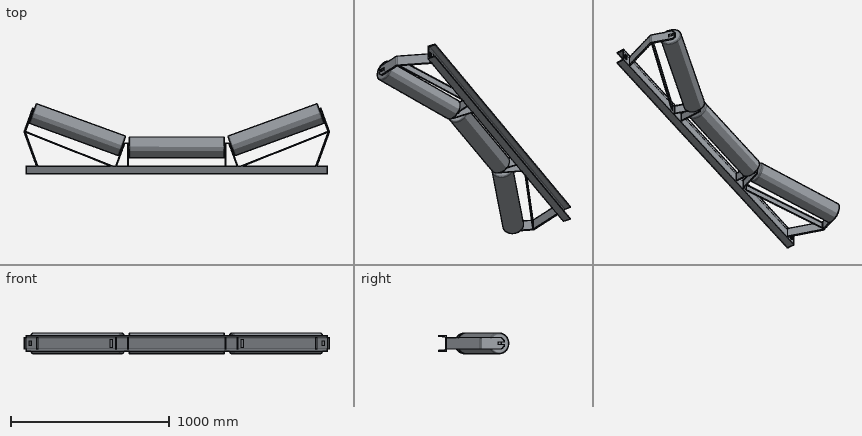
import cadquery as cq
import math


OVERALL_LENGTH = 1925.0
TROUGH_ANGLE = 20.0
SIN_TROUGH = math.sin(math.radians(TROUGH_ANGLE))
COS_TROUGH = math.cos(math.radians(TROUGH_ANGLE))
TAN_TROUGH = math.tan(math.radians(TROUGH_ANGLE))
SIDES = (-1, 1)

CHANNEL_LENGTH = 1900.0
CHANNEL_HEIGHT = 100.0
CHANNEL_DEPTH = 50.0
WEB_THICKNESS = 5.0
FLANGE_TOE_THICKNESS = 6.5
FLANGE_TAPER = 0.08
ROOT_RADIUS = 8.0
TOE_RADIUS = 4.0
SLOT_FROM_END = 27.0
SLOT_WIDTH = 17.0
SLOT_HEIGHT = 29.0

ROLLER_DIAMETER = 133.0
ROLLER_LENGTH = 600.0
ROLLER_EDGE_RADIUS = 5.0
CENTRE_ROLLER_Y = 117.0
SIDE_ROLLER_X = 625.0
SIDE_ROLLER_Y = 229.0
ROLLER_GAP = 4.0
AXLE_THICKNESS = 15.0
AXLE_DIAMETER = 23.0

BRACKET_WIDTH = 71.0
INNER_PLATE = 5.0
INNER_BRACKET_TOP = 146.0
INNER_BEND_RADIUS = 5.0
OUTER_PLATE = 10.0
OUTER_BEND_Y = 215.0
OUTER_BEND_RADIUS = 15.0
OUTER_TIP_Y = 365.0
OUTER_TIP_CHAMFER = 20.0

BRACE_WIDTH = 50.0
BRACE_THICKNESS = 5.0
BRACE_FOOT_X = 412.0

INNER_REACH = ROLLER_LENGTH / 2 + ROLLER_GAP + INNER_PLATE
OUTER_CORNER_X = OVERALL_LENGTH / 2 + OUTER_BEND_RADIUS * (1 / COS_TROUGH - 1)
OUTER_REACH = (OUTER_CORNER_X - SIDE_ROLLER_X) * COS_TROUGH + (OUTER_BEND_Y - SIDE_ROLLER_Y) * SIN_TROUGH


def make_strip(outline, width):
    """Plate with the given XY outline, extruded symmetrically about Z = 0."""
    return cq.Workplane("XY").workplane(offset=-width / 2).polyline(outline).close().extrude(width)


def on_side_roller_axis(body):
    """Move a body built along X at the origin onto the right-hand inclined roller axis."""
    return body.rotate((0, 0, 0), (0, 0, 1), TROUGH_ANGLE).translate((SIDE_ROLLER_X, SIDE_ROLLER_Y, 0))


def on_side(body, side):
    """Mirror a right-hand body when it belongs on the left."""
    return body if side > 0 else body.mirror("YZ")


def make_channel():
    """Taper-flange channel, open towards -Y, with a mounting slot near each end of its web."""
    half_height = CHANNEL_HEIGHT / 2
    toe_z = half_height - FLANGE_TOE_THICKNESS
    root_z = toe_z - FLANGE_TAPER * (CHANNEL_DEPTH - WEB_THICKNESS)
    profile = [
        (0, -half_height),
        (0, half_height),
        (-CHANNEL_DEPTH, half_height),
        (-CHANNEL_DEPTH, toe_z),
        (-WEB_THICKNESS, root_z),
        (-WEB_THICKNESS, -root_z),
        (-CHANNEL_DEPTH, -toe_z),
        (-CHANNEL_DEPTH, -half_height),
    ]
    channel = cq.Workplane("YZ").workplane(offset=-CHANNEL_LENGTH / 2)
    channel = channel.polyline(profile).close().extrude(CHANNEL_LENGTH)

    def edges_near(y, z):
        """The pair of lengthwise edges at (y, z) and (y, -z)."""
        spots = [(0, y, z), (0, y, -z)]
        return channel.newObject([channel.edges(cq.selectors.NearestToPointSelector(s)).val() for s in spots])

    channel = edges_near(-WEB_THICKNESS, root_z).fillet(ROOT_RADIUS)
    channel = edges_near(-CHANNEL_DEPTH, toe_z).fillet(TOE_RADIUS)

    slot_x = CHANNEL_LENGTH / 2 - SLOT_FROM_END
    slots = (
        cq.Workplane("XZ")
        .pushPoints([(side * slot_x, 0) for side in SIDES])
        .rect(SLOT_WIDTH, SLOT_HEIGHT)
        .extrude(WEB_THICKNESS)
    )
    return channel.cut(slots)


def make_axle(inner_reach, outer_reach):
    """Axle along X with two flats, ending flush with the far faces of the supporting plates."""
    length = inner_reach + outer_reach
    axle = cq.Workplane("YZ").workplane(offset=-inner_reach).circle(AXLE_DIAMETER / 2).extrude(length)
    return axle.intersect(cq.Workplane("XY").box(OVERALL_LENGTH, AXLE_DIAMETER, AXLE_THICKNESS))


def make_roller(inner_reach, outer_reach):
    """Roller along X, centred on the origin, with an axle end beyond each face."""
    shell = cq.Workplane("YZ").workplane(offset=-ROLLER_LENGTH / 2).circle(ROLLER_DIAMETER / 2)
    shell = shell.extrude(ROLLER_LENGTH)
    shell = shell.faces("<X or >X").edges().fillet(ROLLER_EDGE_RADIUS)
    return shell.union(make_axle(inner_reach, outer_reach))


def make_centre_roller():
    return make_roller(INNER_REACH, INNER_REACH).translate((0, CENTRE_ROLLER_Y, 0))


def make_side_roller():
    return on_side_roller_axis(make_roller(INNER_REACH, OUTER_REACH))


def make_inner_bracket():
    """Folded plate between two rollers: an upright leg, a flat top and an inclined leg."""
    slant_plate = INNER_PLATE / COS_TROUGH
    upright_x = ROLLER_LENGTH / 2 + ROLLER_GAP
    foot_x = SIDE_ROLLER_X + SIDE_ROLLER_Y * TAN_TROUGH - (INNER_REACH - INNER_PLATE) / COS_TROUGH
    underside = INNER_BRACKET_TOP - INNER_PLATE
    outline = [
        (upright_x, 0),
        (upright_x, INNER_BRACKET_TOP),
        (foot_x - INNER_BRACKET_TOP * TAN_TROUGH, INNER_BRACKET_TOP),
        (foot_x, 0),
        (foot_x - slant_plate, 0),
        (foot_x - slant_plate - underside * TAN_TROUGH, underside),
        (upright_x + INNER_PLATE, underside),
        (upright_x + INNER_PLATE, 0),
    ]
    bracket = make_strip(outline, BRACKET_WIDTH)
    bracket = bracket.faces(">Y").edges("|Z").fillet(INNER_BEND_RADIUS)
    return bracket.cut(make_centre_roller()).cut(make_side_roller())


def make_outer_bracket():
    """Bent plate carrying the outer axle end in a slot open at its tip."""
    slant_plate = OUTER_PLATE / COS_TROUGH
    foot_x = OUTER_CORNER_X - OUTER_BEND_Y * TAN_TROUGH
    tip_x = OUTER_CORNER_X - (OUTER_TIP_Y - OUTER_BEND_Y) * TAN_TROUGH
    outline = [
        (foot_x, 0),
        (OUTER_CORNER_X, OUTER_BEND_Y),
        (tip_x, OUTER_TIP_Y),
        (tip_x - OUTER_PLATE * COS_TROUGH, OUTER_TIP_Y - OUTER_PLATE * SIN_TROUGH),
        (OUTER_CORNER_X - slant_plate, OUTER_BEND_Y),
        (foot_x - slant_plate, 0),
    ]
    bracket = make_strip(outline, BRACKET_WIDTH)
    bracket = bracket.edges(">X").fillet(OUTER_BEND_RADIUS)

    tip_edges = bracket.faces(cq.selectors.NearestToPointSelector((tip_x, OUTER_TIP_Y, 0))).edges("not |Z")
    bracket = tip_edges.edges("<Z or >Z").chamfer(OUTER_TIP_CHAMFER)

    slot_length = OUTER_TIP_Y
    slot = cq.Workplane("XY").box(2 * OUTER_PLATE, slot_length, AXLE_THICKNESS)
    slot = slot.translate((OUTER_REACH, slot_length / 2 - AXLE_DIAMETER / 2, 0))
    return bracket.cut(on_side_roller_axis(slot))


def make_brace():
    """Flat strut from the channel's back face up to the inside of the outer bend."""
    top_x = OUTER_CORNER_X - OUTER_PLATE / COS_TROUGH
    slope = math.atan2(OUTER_BEND_Y, top_x - BRACE_FOOT_X)
    foot_length = BRACE_THICKNESS / math.sin(slope)
    rise = BRACE_THICKNESS / math.cos(slope)
    side_step = rise / 2 * TAN_TROUGH
    outline = [
        (BRACE_FOOT_X - foot_length / 2, 0),
        (BRACE_FOOT_X + foot_length / 2, 0),
        (top_x - side_step, OUTER_BEND_Y - rise / 2),
        (top_x, OUTER_BEND_Y),
        (top_x - side_step, OUTER_BEND_Y + rise / 2),
    ]
    return make_strip(outline, BRACE_WIDTH)


channel = make_channel()
centre_roller = make_centre_roller()
bodies = [channel.val(), centre_roller.val()]

for side in SIDES:
    side_roller = on_side(make_side_roller(), side)
    inner_bracket = on_side(make_inner_bracket(), side)
    outer_bracket = on_side(make_outer_bracket(), side)
    brace = on_side(make_brace(), side)
    bodies += [side_roller.val(), inner_bracket.val(), outer_bracket.val(), brace.val()]

result = cq.Compound.makeCompound(bodies)